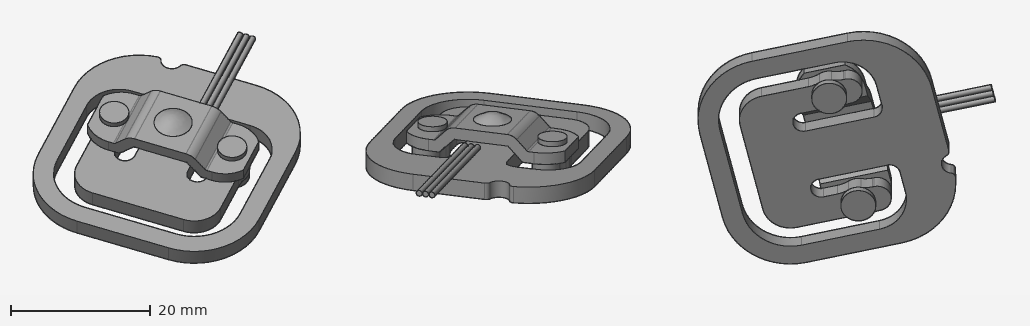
import cadquery as cq
import math

PLATE_SIZE = 34.0
PLATE_THICKNESS = 2.5
PLATE_CORNER_RADIUS = 10.0
RIM_WIDTH = 2.95
GAP_WIDTH = 3.0
WINDOW_TOP_Y = 9.4
WINDOW_TOP_RADIUS = 5.0
NECK_WIDTH = 8.15
NECK_ROOT_RADIUS = 1.5
SLOT_END_Y = -3.65

RIVET_Y = 2.48
RIVET_SHANK_DIAMETER = 3.0
RIVET_TOP_HEAD_DIAMETER = 4.2
RIVET_TOP_HEAD_HEIGHT = 0.75
RIVET_BOTTOM_HEAD_DIAMETER = 5.0
RIVET_BOTTOM_HEAD_HEIGHT = 1.0
ARM_END_Y = 7.25
ARM_BULGE_DIAMETER = RIVET_BOTTOM_HEAD_DIAMETER
ARM_BULGE_BLEND_RADIUS = 4.5

NOTCH_X = -5.95
NOTCH_RADIUS = 1.55
NOTCH_LIP_RADIUS = 0.7

BRACKET_LENGTH = 24.0
BRACKET_WIDTH = 10.0
BRACKET_THICKNESS = 1.75
BRIDGE_TOP_HEIGHT = 4.0
FOOT_INNER_X = 7.0
BRIDGE_OUTER_BEND_RADIUS = 2.0
FOOT_BEND_RADIUS = 0.4
FOOT_END_RADIUS = BRACKET_WIDTH / 2
FOOT_END_CENTER_X = 8.0
DOME_DIAMETER = 5.45
DOME_HEIGHT = 0.95
DOME_FLANK_ANGLE = 28.0

WIRE_DIAMETER = 0.9
WIRE_PITCH = 0.95
WIRE_COUNT = 3
MIDDLE_WIRE_X = 2.35
WIRE_START_Y = 5.0
WIRE_END_Y = 25.0

SIDES = (-1, 1)
SELECT_MARGIN = 0.05

HALF_PLATE = PLATE_SIZE / 2
WINDOW_HALF_WIDTH = HALF_PLATE - RIM_WIDTH
WINDOW_BOTTOM_Y = -WINDOW_HALF_WIDTH
WINDOW_BOTTOM_RADIUS = PLATE_CORNER_RADIUS - RIM_WIDTH
PAD_HALF_WIDTH = WINDOW_HALF_WIDTH - GAP_WIDTH
PAD_BOTTOM_Y = WINDOW_BOTTOM_Y + GAP_WIDTH
PAD_BOTTOM_RADIUS = WINDOW_BOTTOM_RADIUS - GAP_WIDTH
SLOT_X = NECK_WIDTH / 2 + GAP_WIDTH / 2
ARM_INNER_X = NECK_WIDTH / 2 + GAP_WIDTH
ARM_WIDTH = PAD_HALF_WIDTH - ARM_INNER_X
RIVET_X = (ARM_INNER_X + PAD_HALF_WIDTH) / 2
ARM_TIP_CENTER_Y = ARM_END_Y - ARM_WIDTH / 2
PLATE_TOP_Z = PLATE_THICKNESS
FOOT_TOP_Z = PLATE_TOP_Z + BRACKET_THICKNESS
BRIDGE_TOP_Z = PLATE_TOP_Z + BRIDGE_TOP_HEIGHT


def block(x_min, x_max, y_min, y_max):
    """A plate-thick block between the given sides."""
    return (
        cq.Workplane("XY")
        .box(x_max - x_min, y_max - y_min, PLATE_THICKNESS, centered=False)
        .translate((x_min, y_min, 0))
    )


def disc(x, y, diameter):
    """A plate-thick disc centred on (x, y)."""
    return cq.Workplane("XY").center(x, y).circle(diameter / 2).extrude(PLATE_THICKNESS)


def upright_edges_in(x_min, x_max, y_min, y_max):
    """Selects the edges that stand on the plate's underside within the given sides."""
    return cq.selectors.BoxSelector(
        (x_min - SELECT_MARGIN, y_min - SELECT_MARGIN, SELECT_MARGIN),
        (x_max + SELECT_MARGIN, y_max + SELECT_MARGIN, PLATE_THICKNESS - SELECT_MARGIN),
    )


def make_arm(side):
    """One round-ended arm of the pad, bulging out around its rivet."""
    rivet_x = side * RIVET_X
    arm_min_x = rivet_x - ARM_WIDTH / 2
    arm_max_x = rivet_x + ARM_WIDTH / 2
    bulge_radius = ARM_BULGE_DIAMETER / 2
    arm = block(arm_min_x, arm_max_x, SLOT_END_Y, ARM_TIP_CENTER_Y)
    arm = arm.union(disc(rivet_x, RIVET_Y, ARM_BULGE_DIAMETER))
    bulge_ends = upright_edges_in(arm_min_x, arm_max_x, RIVET_Y - bulge_radius, RIVET_Y + bulge_radius)
    arm = arm.edges(bulge_ends).fillet(ARM_BULGE_BLEND_RADIUS)
    return arm.union(disc(rivet_x, ARM_TIP_CENTER_Y, ARM_WIDTH))


def make_pad():
    """The pad inside the window, with its two arms and the neck that joins it to the frame."""
    pad = block(-PAD_HALF_WIDTH, PAD_HALF_WIDTH, PAD_BOTTOM_Y, SLOT_END_Y + GAP_WIDTH / 2)
    pad = pad.edges("|Z and <Y").fillet(PAD_BOTTOM_RADIUS)
    for side in SIDES:
        pad = pad.cut(disc(side * SLOT_X, SLOT_END_Y + GAP_WIDTH / 2, GAP_WIDTH))
        pad = pad.union(make_arm(side))
    return pad.union(block(-NECK_WIDTH / 2, NECK_WIDTH / 2, SLOT_END_Y, WINDOW_TOP_Y))


def make_opening():
    """The gap around the pad: the window less the pad."""
    window = block(-WINDOW_HALF_WIDTH, WINDOW_HALF_WIDTH, WINDOW_BOTTOM_Y, WINDOW_TOP_Y)
    window = window.edges("|Z and <Y").fillet(WINDOW_BOTTOM_RADIUS)
    window = window.edges("|Z and >Y").fillet(WINDOW_TOP_RADIUS)
    opening = window.cut(make_pad())
    neck_root = upright_edges_in(-NECK_WIDTH / 2, NECK_WIDTH / 2, WINDOW_TOP_Y, WINDOW_TOP_Y)
    return opening.edges(neck_root).fillet(NECK_ROOT_RADIUS)


def cut_notch(plate):
    """Cuts the round notch into the +Y edge and rounds its two lips."""
    plate = plate.cut(disc(NOTCH_X, HALF_PLATE, 2 * NOTCH_RADIUS))
    lips = upright_edges_in(
        NOTCH_X - NOTCH_RADIUS, NOTCH_X + NOTCH_RADIUS, HALF_PLATE - NOTCH_RADIUS / 2, HALF_PLATE
    )
    return plate.edges(lips).fillet(NOTCH_LIP_RADIUS)


def make_rivet(side):
    """A shank with a head under the plate and a head on the bracket foot."""
    return (
        cq.Workplane("XY", origin=(side * RIVET_X, RIVET_Y, 0))
        .circle(RIVET_BOTTOM_HEAD_DIAMETER / 2)
        .extrude(-RIVET_BOTTOM_HEAD_HEIGHT)
        .faces(">Z")
        .workplane()
        .circle(RIVET_SHANK_DIAMETER / 2)
        .extrude(FOOT_TOP_Z)
        .faces(">Z")
        .workplane()
        .circle(RIVET_TOP_HEAD_DIAMETER / 2)
        .extrude(RIVET_TOP_HEAD_HEIGHT)
    )


def cut_rivet_holes(body):
    """Clears both rivets out of a body: shank holes, and the heads' edges where they nick the bends."""
    for side in SIDES:
        body = body.cut(make_rivet(side))
    return body


def make_plate():
    """The frame, neck and pad in one piece, with the notch and the rivet holes."""
    plate = block(-HALF_PLATE, HALF_PLATE, -HALF_PLATE, HALF_PLATE)
    plate = plate.edges("|Z").fillet(PLATE_CORNER_RADIUS)
    plate = cut_notch(plate)
    plate = plate.cut(make_opening())
    return cut_rivet_holes(plate)


def make_bridge_strip():
    """The bent strip with square ends, along X."""
    rise = BRIDGE_TOP_HEIGHT - BRACKET_THICKNESS
    bridge_outer_x = FOOT_INNER_X - rise
    corner_shift = BRACKET_THICKNESS * math.tan(math.radians(45 / 2))
    right_top = [
        (bridge_outer_x, BRIDGE_TOP_Z),
        (FOOT_INNER_X, FOOT_TOP_Z),
        (BRACKET_LENGTH / 2, FOOT_TOP_Z),
    ]
    right_bottom = [
        (BRACKET_LENGTH / 2, PLATE_TOP_Z),
        (FOOT_INNER_X - corner_shift, PLATE_TOP_Z),
        (bridge_outer_x - corner_shift, PLATE_TOP_Z + rise),
    ]
    right = right_top + right_bottom
    left = [(-x, z) for x, z in reversed(right)]
    strip = (
        cq.Workplane("XZ", origin=(0, RIVET_Y + BRACKET_WIDTH / 2, 0))
        .polyline(right + left)
        .close()
        .extrude(BRACKET_WIDTH)
    )
    strip = strip.edges("|Y and >Z").fillet(BRIDGE_OUTER_BEND_RADIUS)
    for side in SIDES:
        foot_bend = cq.selectors.NearestToPointSelector((side * FOOT_INNER_X, RIVET_Y, FOOT_TOP_Z))
        strip = strip.edges(foot_bend).fillet(FOOT_BEND_RADIUS)
    return strip


def make_dome():
    """A dome with a round top and a flank that runs out at DOME_FLANK_ANGLE, standing on the bridge."""
    flank = math.radians(DOME_FLANK_ANGLE)
    return (
        cq.Workplane("XZ")
        .moveTo(0, DOME_HEIGHT)
        .spline(
            [(DOME_DIAMETER / 2, 0)],
            tangents=[(1, 0), (math.cos(flank), -math.sin(flank))],
            includeCurrent=True,
        )
        .lineTo(0, 0)
        .close()
        .revolve(360, (0, 0, 0), (0, 1, 0))
        .translate((0, RIVET_Y, BRIDGE_TOP_Z))
    )


def make_bracket():
    """The bent strip with truncated round feet, its rivet holes and its dome."""
    foot_outline = (
        cq.Workplane("XY")
        .center(0, RIVET_Y)
        .slot2D(2 * (FOOT_END_CENTER_X + FOOT_END_RADIUS), BRACKET_WIDTH)
        .extrude(BRIDGE_TOP_Z)
    )
    bracket = make_bridge_strip().intersect(foot_outline)
    bracket = cut_rivet_holes(bracket)
    return bracket.union(make_dome())


def make_wire(index):
    """One straight wire along Y; index 0 is the wire nearest -X."""
    x = MIDDLE_WIRE_X + (index - (WIRE_COUNT - 1) / 2) * WIRE_PITCH
    return (
        cq.Workplane("XZ", origin=(x, WIRE_START_Y, PLATE_TOP_Z + WIRE_DIAMETER / 2))
        .circle(WIRE_DIAMETER / 2)
        .extrude(WIRE_START_Y - WIRE_END_Y)
    )


plate = make_plate()
bracket = make_bracket()
rivets = [make_rivet(side) for side in SIDES]
wires = [make_wire(index) for index in range(WIRE_COUNT)]

result = cq.Compound.makeCompound(
    [
        plate.val(),
        bracket.val(),
        *[rivet.val() for rivet in rivets],
        *[wire.val() for wire in wires],
    ]
)